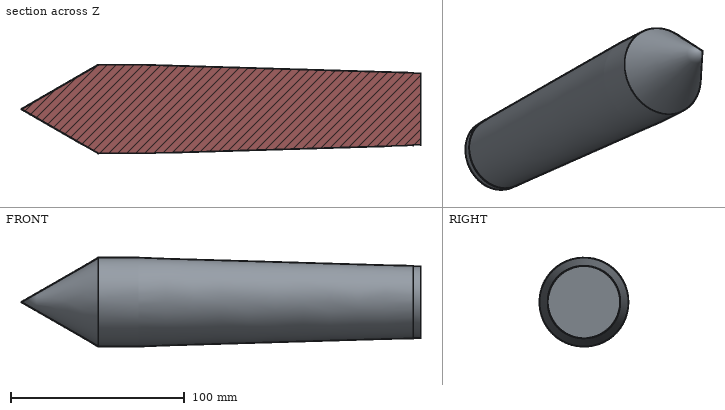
import cadquery as cq
import math

overall_length = 230.12
body_diameter = 51.4
point_angle = 60.0
collar_length = 23.0
tail_length = 4.5
shank_end_diameter = 42.0
tail_diameter = 41.5

body_radius = body_diameter / 2
shank_end_radius = shank_end_diameter / 2
tail_radius = tail_diameter / 2

point_end_x = body_radius / math.tan(math.radians(point_angle / 2))
collar_end_x = point_end_x + collar_length
shank_end_x = overall_length - tail_length


def half_profile():
    """Closed outline between the axis and the outer surface."""
    return (
        cq.Workplane("XY")
        .moveTo(0, 0)
        .lineTo(point_end_x, body_radius)
        .lineTo(collar_end_x, body_radius)
        .lineTo(shank_end_x, shank_end_radius)
        .lineTo(shank_end_x, tail_radius)
        .lineTo(overall_length, tail_radius)
        .lineTo(overall_length, 0)
        .close()
    )


result = half_profile().revolve(360, (0, 0, 0), (1, 0, 0))